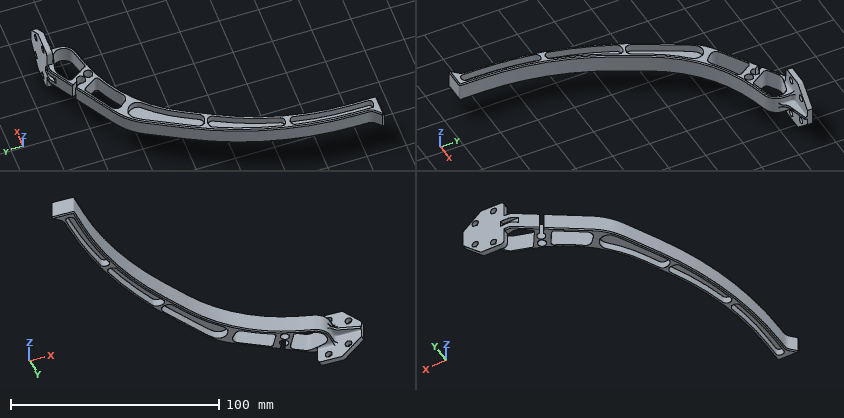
import cadquery as cq
import math

ARM_THICKNESS = 10.0
ARM_EDGE_CHAMFER = 0.6
WALL = 1.6
WEB = 2.0

PART_LENGTH = 143.3
PART_WIDTH = 104.0

ARM_LEFT = 4.0
ARM_RIGHT = 11.6
ARM_END = 90.3
TOE_HEIGHT = 1.0
FLARE_RADIUS = 4.3
HEEL_RADIUS = 0.7

PLATE_THICKNESS = 3.0
PLATE_LEFT = 81.1
PLATE_HEIGHT = 28.0
PLATE_TIP_HEIGHT = 9.2
PLATE_TAPER_START = 94.0
PLATE_CORNER_RADIUS = 2.0
PLATE_FRONT = PART_LENGTH - PLATE_THICKNESS
PLATE_FILLET = 2.0
SCREW_DIAMETER = 3.3
SCREW_PLACES = [(87.0, 10.5), (97.2, 7.0)]

RIB_THICKNESS = 1.3
RIB_FILLET = 0.9
RIB_TIP_Y = 139.0
RIB_BEND = (92.4, 135.8, 4.3)
RIB_TOE_X = 89.4
RIB_TOE_Y = 131.5

RAIL_ANGLE = 32.4
RELIEF_DIAMETER = 4.3
RELIEF_SLOT_PLACE = (67.8, 130.7)
RELIEF_HOLE_PLACE = (69.9, 126.2)
RELIEF_SLOT_WIDTH = 2.0

BACK_GROOVE_WIDTH = 3.0
BACK_GROOVE_DEPTH = 2.1
BACK_GROOVE_END = 83.1

CUT_SPAN = 86.0
REACH = 0.01

BACK_CORNERS = [(ARM_LEFT, 54.6, 172), (37.5, 117.8, 31.5), (77.7, PART_LENGTH, 4.3)]
END_CORNERS = [(ARM_END, PART_LENGTH, 0), (ARM_END, 128.7, 7.9)]
INNER_CORNERS = [(48.3, 117.0, 68.8), (ARM_RIGHT, 46.9, 137.5)]
ARM_CORNERS = BACK_CORNERS + END_CORNERS + INNER_CORNERS

FOOT_CORNERS = [
    (ARM_RIGHT, 0, HEEL_RADIUS),
    (0, 0, 0),
    (0, TOE_HEIGHT, 0),
    (ARM_LEFT, TOE_HEIGHT + ARM_LEFT, FLARE_RADIUS),
]

UPPER_WINDOW_CORNERS = [
    (68.6, 135.7, 2.0),
    (76.5, 140.7, 5.7),
    (88.4, 137.7, 4.5),
    (88.4, 129.8, 5.5),
    (74.8, 126.0, 0.9),
]

POCKETS = [
    ((7.7, 3.0, 0, 1.7), (11.5, 44.0, 0, 2.0)),
    ((12.3, 46.4, 0, 2.1), (22.6, 81.7, 0, 2.6)),
    ((26.1, 82.5, -15, 2.9), (44.7, 114.3, -45, 4.6)),
]
LOWER_WINDOW = ((47.6, 116.4, -48, 3.2), (64.2, 127.2, RAIL_ANGLE - 90, 1.5))


def rounded_outline(corners):
    """Closed wire through (x, y, radius) corners, each rounded by a tangent arc."""
    stretches = []
    for i, (x, y, radius) in enumerate(corners):
        corner = cq.Vector(x, y)
        before = (cq.Vector(*corners[i - 1][:2]) - corner).normalized()
        after = (cq.Vector(*corners[(i + 1) % len(corners)][:2]) - corner).normalized()
        half_angle = before.getAngle(after) / 2
        setback = radius / math.tan(half_angle)
        apex = radius / math.sin(half_angle) - radius
        middle = corner + (before + after).normalized() * apex
        stretches.append((corner + before * setback, middle, corner + after * setback, radius))

    outline = cq.Workplane("XY").moveTo(*stretches[-1][2].toTuple()[:2])
    for start, middle, end, radius in stretches:
        outline = outline.lineTo(start.x, start.y)
        if radius:
            outline = outline.threePointArc((middle.x, middle.y), (end.x, end.y))
    return outline.wire()


def prism(outline, height):
    """Extrude an outline symmetrically about mid height."""
    return outline.extrude(height / 2, both=True)


def half_space(x, y, slope, forward):
    """Large block on one side of a sloped cut line through (x, y)."""
    side = 1 if forward else -1
    block = cq.Workplane("XY").box(CUT_SPAN, CUT_SPAN, CUT_SPAN).translate((0, side * CUT_SPAN / 2, 0))
    return block.rotate((0, 0, 0), (0, 0, 1), slope).translate((x, y, 0))


def round_cut_corners(body, x, y, slope, radius):
    """Round the upright edges that lie on a cut line."""
    angle = math.radians(slope)
    normal = cq.Vector(-math.sin(angle), math.cos(angle))
    edges = [
        edge for edge in body.edges("|Z").vals()
        if abs((edge.Center() - cq.Vector(x, y)).dot(normal)) < 0.001
    ]
    return body.newObject(edges).fillet(radius)


def arm_opening(start, end, height):
    """Prism that follows the arm at the wall distance, between two cuts."""
    band = [(ARM_RIGHT, 0, 0), (ARM_LEFT, 0, 0)] + ARM_CORNERS
    body = prism(rounded_outline(band).offset2D(-WALL), height)
    body = body.intersect(half_space(*start[:3], forward=True))
    body = body.intersect(half_space(*end[:3], forward=False))
    body = round_cut_corners(body, *start)
    return round_cut_corners(body, *end)


def make_arm():
    arm = prism(rounded_outline(FOOT_CORNERS + ARM_CORNERS), ARM_THICKNESS)
    return arm.faces("<Z or >Z").edges().chamfer(ARM_EDGE_CHAMFER)


def make_plate():
    half = PLATE_HEIGHT / 2
    half_tip = PLATE_TIP_HEIGHT / 2
    corners = [
        (PLATE_LEFT, -half, PLATE_CORNER_RADIUS),
        (PLATE_TAPER_START, -half, PLATE_CORNER_RADIUS),
        (PART_WIDTH, -half_tip, 0),
        (PART_WIDTH, half_tip, 0),
        (PLATE_TAPER_START, half, PLATE_CORNER_RADIUS),
        (PLATE_LEFT, half, PLATE_CORNER_RADIUS),
    ]
    plate = rounded_outline(corners).extrude(PLATE_THICKNESS)
    places = [(x, side * z) for x, z in SCREW_PLACES for side in (1, -1)]
    plate = plate.faces("<Z").workplane(origin=(0, 0, 0)).pushPoints(places).hole(SCREW_DIAMETER)
    return plate.rotate((0, 0, 0), (1, 0, 0), 90).translate((0, PART_LENGTH, 0))


def blend_arm_to_plate(body):
    """Fillet the arm's sides and end where they run into the plate."""
    half = ARM_THICKNESS / 2 + REACH
    low = (PLATE_LEFT - REACH, PLATE_FRONT - REACH, -half)
    high = (ARM_END + REACH, PLATE_FRONT + REACH, half)
    return body.edges(cq.selectors.BoxSelector(low, high, boundingbox=True)).fillet(PLATE_FILLET)


def add_rib(body):
    """Thin gusset from the arm's end wall to the plate tip, filleted into both."""
    root = ARM_END - WALL / 2
    side_view = [
        (root, PLATE_FRONT, 0),
        (PART_WIDTH, PLATE_FRONT, 0),
        (PART_WIDTH, RIB_TIP_Y, 0),
        RIB_BEND,
        (RIB_TOE_X, RIB_TOE_Y, 0),
        (root, RIB_TOE_Y, 0),
    ]
    body = body.union(prism(rounded_outline(side_view), RIB_THICKNESS))

    half = RIB_THICKNESS / 2 + REACH
    low = (ARM_END, PLATE_FRONT - REACH, -half)
    high = (PART_WIDTH + REACH, PLATE_FRONT + REACH, half)
    return body.edges(cq.selectors.BoxSelector(low, high, boundingbox=True)).edges("|X").fillet(RIB_FILLET)


def make_pockets():
    """Blind pockets on both faces, leaving a web at mid height."""
    web = cq.Workplane("XY").box(3 * PART_LENGTH, 3 * PART_LENGTH, WEB)
    pockets = cq.Workplane("XY")
    for start, end in POCKETS:
        pockets = pockets.add(arm_opening(start, end, PLATE_HEIGHT).cut(web))
    return pockets.combine()


def make_relief():
    """Round hole and a keyhole slot that opens through the back edge."""
    x, y = RELIEF_SLOT_PLACE
    holes = prism(
        cq.Workplane("XY").pushPoints([RELIEF_SLOT_PLACE, RELIEF_HOLE_PLACE]).circle(RELIEF_DIAMETER / 2),
        PLATE_HEIGHT,
    )
    slot_length = 2 * RELIEF_DIAMETER
    slot = cq.Workplane("XY").box(RELIEF_SLOT_WIDTH, slot_length, PLATE_HEIGHT)
    slot = slot.translate((0, slot_length / 2, 0))
    slot = slot.rotate((0, 0, 0), (0, 0, 1), RAIL_ANGLE).translate((x, y, 0))
    return holes.union(slot)


def make_back_groove():
    """Shallow groove in the mounting face, open toward the arm's back edge."""
    length = BACK_GROOVE_END - RELIEF_SLOT_PLACE[0]
    groove = cq.Workplane("XY").box(length, 2 * BACK_GROOVE_DEPTH, BACK_GROOVE_WIDTH)
    return groove.translate((BACK_GROOVE_END - length / 2, PART_LENGTH, 0))


result = blend_arm_to_plate(make_arm().union(make_plate()))
result = add_rib(result)
result = result.cut(make_back_groove())
result = result.cut(prism(rounded_outline(UPPER_WINDOW_CORNERS), PLATE_HEIGHT))
result = result.cut(arm_opening(*LOWER_WINDOW, PLATE_HEIGHT))
result = result.cut(make_relief())
result = result.cut(make_pockets())